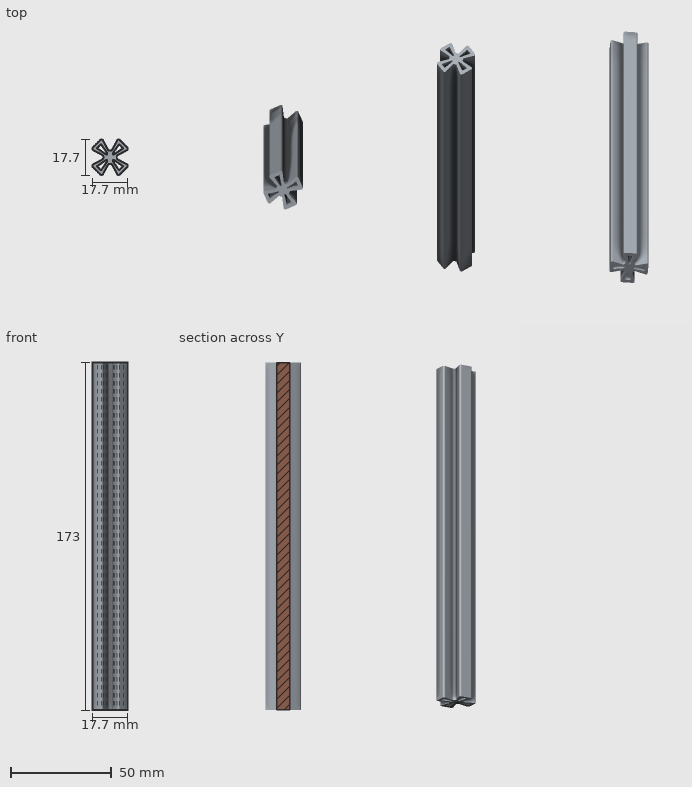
import cadquery as cq
import math

width = 17.7
length = 173.0

tip_radius = 0.86
tip_center_offset = 4.25

slot_half_angle = math.radians(28)
slot_floor_distance = 3.38
slot_floor_half_width = 0.32

channel_tip = 2.09
channel_end = 7.73
channel_shoulder_half_width = 0.4
channel_end_half_width = 1.38

number_of_arms = 4
arm_spacing = 360 / number_of_arms

tip_center = cq.Vector(tip_center_offset, width / 2 - tip_radius)


def unit_vector(angle):
    """Unit vector at an angle in radians from +X."""
    return cq.Vector(math.cos(angle), math.sin(angle))


def mirrored(point):
    """The point on the other side of the middle plane of the +Y slot."""
    return cq.Vector(-point.x, point.y)


def add_arc(profile, center, radius, start_angle, end_angle):
    """Extend a profile to the start of an arc, then along the arc to its end."""
    start = center + unit_vector(start_angle) * radius
    middle = center + unit_vector((start_angle + end_angle) / 2) * radius
    end = center + unit_vector(end_angle) * radius
    return profile.lineTo(start.x, start.y).threePointArc(middle.toTuple()[:2], end.toTuple()[:2])


def rotate_about_axis(shape, angle):
    """Turn a shape about the bar axis by an angle in degrees."""
    return shape.rotate((0, 0, 0), (0, 0, 1), angle)


def make_body():
    """Cross-shaped bar: a sector with one slot and two half arms, repeated around the axis."""
    diagonal = math.pi / 4
    wall_normal_angle = math.pi - slot_half_angle
    wall_normal = unit_vector(wall_normal_angle)

    floor_edge = cq.Vector(slot_floor_half_width, slot_floor_distance)
    gap = (floor_edge - tip_center).dot(wall_normal) - tip_radius
    floor_radius = gap / (1 - math.sin(slot_half_angle))
    floor_center = floor_edge + cq.Vector(0, floor_radius)

    arm_end_distance = tip_center.dot(unit_vector(diagonal)) + tip_radius
    arm_end = unit_vector(diagonal) * arm_end_distance

    sector = cq.Workplane("XY").moveTo(0, 0).lineTo(arm_end.x, arm_end.y)
    sector = add_arc(sector, tip_center, tip_radius, diagonal, wall_normal_angle)
    sector = add_arc(sector, floor_center, floor_radius, -slot_half_angle, -math.pi / 2)
    sector = add_arc(
        sector, mirrored(floor_center), floor_radius, -math.pi / 2, slot_half_angle - math.pi
    )
    sector = add_arc(
        sector, mirrored(tip_center), tip_radius, slot_half_angle, math.pi - diagonal
    )
    sector = sector.lineTo(-arm_end.x, arm_end.y).close().extrude(length)

    body = sector
    for arm in range(1, number_of_arms):
        body = body.union(rotate_about_axis(sector, arm * arm_spacing))
    return body.clean()


def make_channel():
    """Five-sided channel laid out along +X, pointed inside and widening towards the arm end."""
    shoulder = channel_tip + channel_shoulder_half_width
    return (
        cq.Workplane("XY")
        .moveTo(channel_tip, 0)
        .lineTo(shoulder, -channel_shoulder_half_width)
        .lineTo(channel_end, -channel_end_half_width)
        .lineTo(channel_end, channel_end_half_width)
        .lineTo(shoulder, channel_shoulder_half_width)
        .close()
        .extrude(length)
    )


result = make_body()
for arm in range(number_of_arms):
    channel_angle = arm * arm_spacing + arm_spacing / 2
    result = result.cut(rotate_about_axis(make_channel(), channel_angle))